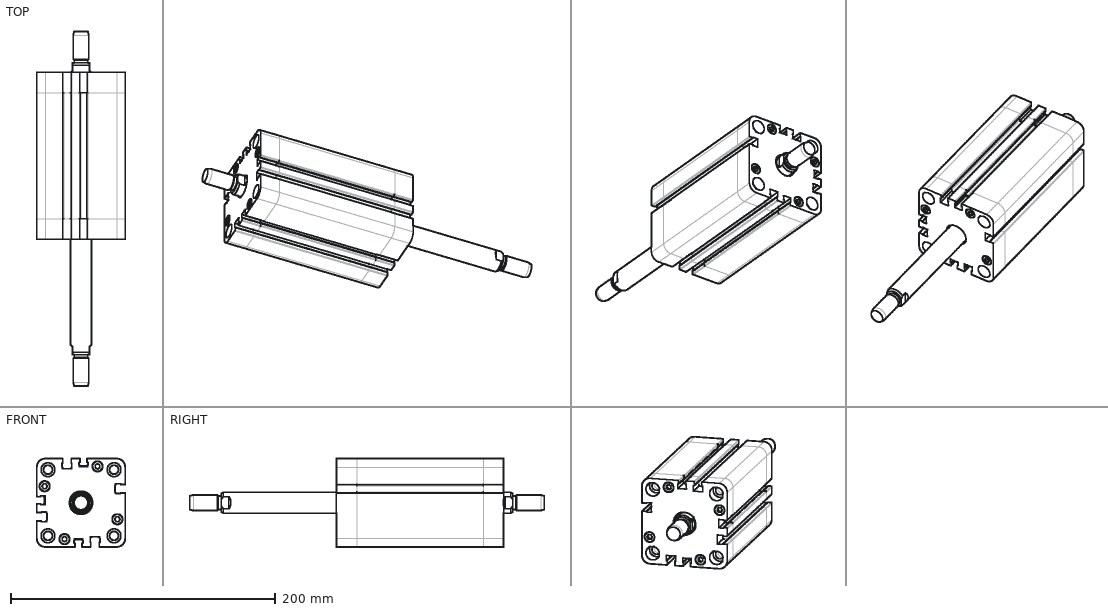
import cadquery as cq


body_width = 67.0
body_length = 126.5
cap_length = 15.5
corner_radius = 6.5
half_width = body_width / 2
tube_length = body_length - 2 * cap_length

slot_mouth_fillet = 0.5
tube_floor_fillet = 1.2

large_slot_x = -10.6
large_mouth_width = 6.2
large_undercut_width = 7.2
large_lip_depth = 3.5
large_slot_depth = 7.6

small_slot_x = 1.9
small_undercut_width = 6.6
small_lip_depth = 3.0
cap_small_mouth_width = 5.6
cap_small_slot_depth = 6.4
tube_small_mouth_width = 5.2
tube_small_slot_depth = 5.6

large_slot_turns = (0, 1, 2, 3)
small_slot_turns = (0, 1, 2)

mount_spacing = 50.0
mount_hole_diameter = 6.65
mount_bore_diameter = 10.5
mount_bore_depth = 10.0

screw_offset_along = 12.5
screw_offset_out = 27.5
screw_bore_diameter = 8.0
screw_head_diameter = 7.5
screw_bore_depth = 3.0
screw_head_sink = 0.3
screw_socket_width = 3.5
screw_socket_depth = 2.5
screw_turns = (0, 1, 2, 3)

rod_diameter = 16.0
rod_clearance_diameter = 17.6
rod_clearance_depth = 2.0
front_rod_length = 111.0
rear_rod_length = 31.0

thread_diameter = 12.0
thread_tip_diameter = 10.5
thread_tip_length = 2.9
neck_diameter = 10.5
neck_length = 3.0
threaded_end_length = 24.0
shoulder_chamfer_depth = 1.0
shoulder_chamfer_length = 1.7
flats_width = 13.0
flats_length = 5.8


def section_plane(start):
    """Plane across the cylinder axis at Y = start, facing -Y, with local x = X and local y = Z."""
    return cq.Plane(origin=(0, start, 0), xDir=(1, 0, 0), normal=(0, -1, 0))


def cylinder(x, z, diameter, start, length):
    """Round bar parallel to Y, reaching from Y = start to Y = start + length."""
    return cq.Workplane(section_plane(start)).center(x, z).circle(diameter / 2).extrude(-length)


def turned(shape, quarter_turns):
    """Turn a shape from the top face towards -X, the bottom and +X."""
    return shape.rotate((0, 0, 0), (0, 1, 0), -90 * quarter_turns)


def t_slot(x, mouth_width, undercut_width, lip_depth, depth, start, length):
    """T-slot cutter in the top face; its mouth flares out in a small radius."""
    mouth = mouth_width / 2
    undercut = undercut_width / 2
    flare = mouth + slot_mouth_fillet
    lip_z = half_width - lip_depth
    floor_z = half_width - depth
    fillet_z = half_width - slot_mouth_fillet
    arc_shift = slot_mouth_fillet * (1 - 0.5 ** 0.5)
    return (
        cq.Workplane(section_plane(start))
        .moveTo(x - flare, half_width)
        .threePointArc((x - mouth - arc_shift, half_width - arc_shift), (x - mouth, fillet_z))
        .lineTo(x - mouth, lip_z)
        .lineTo(x - undercut, lip_z)
        .lineTo(x - undercut, floor_z)
        .lineTo(x + undercut, floor_z)
        .lineTo(x + undercut, lip_z)
        .lineTo(x + mouth, lip_z)
        .lineTo(x + mouth, fillet_z)
        .threePointArc((x + mouth + arc_shift, half_width - arc_shift), (x + flare, half_width))
        .close()
        .extrude(-length)
    )


def slotted_block(start, length, small_mouth_width, small_depth, floor_fillet=0):
    """Length of rounded square bar with its T-slots."""
    block = (
        cq.Workplane(section_plane(start))
        .rect(body_width, body_width)
        .extrude(-length)
        .edges("|Y")
        .fillet(corner_radius)
    )
    large_slot = t_slot(
        large_slot_x, large_mouth_width, large_undercut_width,
        large_lip_depth, large_slot_depth, start, length,
    )
    small_slot = t_slot(
        small_slot_x, small_mouth_width, small_undercut_width,
        small_lip_depth, small_depth, start, length,
    )
    if floor_fillet:
        large_slot = large_slot.faces("<Z").edges("|Y").fillet(floor_fillet)
        small_slot = small_slot.faces("<Z").edges("|Y").fillet(floor_fillet)
    for turns in large_slot_turns:
        block = block.cut(turned(large_slot, turns))
    for turns in small_slot_turns:
        block = block.cut(turned(small_slot, turns))
    return block


def cut_mounting_holes(cap):
    offset = mount_spacing / 2
    for x in (-offset, offset):
        for z in (-offset, offset):
            cap = cap.cut(cylinder(x, z, mount_hole_diameter, 0, cap_length))
            cap = cap.cut(cylinder(x, z, mount_bore_diameter, 0, mount_bore_depth))
    return cap


def add_cap_screws(cap):
    """Bore a seat for each screw and set its socket head in it."""
    x = screw_offset_along
    z = screw_offset_out
    socket_diameter = screw_socket_width * 2 / 3 ** 0.5
    bore = cylinder(x, z, screw_bore_diameter, 0, screw_bore_depth)
    socket = (
        cq.Workplane(section_plane(screw_head_sink))
        .center(x, z)
        .transformed(rotate=(0, 0, 90))
        .polygon(6, socket_diameter)
        .extrude(-screw_socket_depth)
    )
    head_length = screw_bore_depth - screw_head_sink
    head = cylinder(x, z, screw_head_diameter, screw_head_sink, head_length).cut(socket)
    for turns in screw_turns:
        cap = cap.cut(turned(bore, turns)).union(turned(head, turns))
    return cap


def make_front_cap():
    cap = slotted_block(0, cap_length, cap_small_mouth_width, cap_small_slot_depth)
    cap = cut_mounting_holes(cap)
    cap = add_cap_screws(cap)
    return cap.cut(cylinder(0, 0, rod_clearance_diameter, 0, rod_clearance_depth))


def make_tube():
    tube = slotted_block(
        cap_length, tube_length, tube_small_mouth_width, tube_small_slot_depth, tube_floor_fillet
    )
    offset = mount_spacing / 2
    for x in (-offset, offset):
        for z in (-offset, offset):
            tube = tube.cut(cylinder(x, z, mount_hole_diameter, cap_length, tube_length))
    return tube


def mirrored_to_rear(shape):
    return shape.mirror("XZ", (0, body_length / 2, 0))


def cut_wrench_flats(rod, shoulder):
    """Cut two flats behind the shoulder, each running out in a 45 degree ramp."""
    rod_radius = rod_diameter / 2
    flat_x = flats_width / 2
    flat_end = shoulder + flats_length
    ramp = rod_radius - flat_x
    outline = [
        (flat_x, shoulder),
        (flat_x, flat_end),
        (rod_radius, flat_end + ramp),
        (rod_radius, shoulder),
    ]
    cutter = cq.Workplane("XY").polyline(outline).close().extrude(rod_radius, both=True)
    return rod.cut(cutter).cut(cutter.mirror("YZ"))


def make_rod_half(exposed_length):
    """Rod from the middle of the body out through the front face to its threaded tip."""
    rod_radius = rod_diameter / 2
    thread_radius = thread_diameter / 2
    neck_radius = neck_diameter / 2
    tip = -exposed_length
    shoulder = tip + threaded_end_length
    neck_start = shoulder - neck_length
    thread_runout = thread_radius - neck_radius
    middle = body_length / 2
    profile = [
        (0, tip),
        (thread_tip_diameter / 2, tip),
        (thread_radius, tip + thread_tip_length),
        (thread_radius, neck_start),
        (neck_radius, neck_start + thread_runout),
        (neck_radius, shoulder),
        (rod_radius - shoulder_chamfer_depth, shoulder),
        (rod_radius, shoulder + shoulder_chamfer_length),
        (rod_radius, middle),
        (0, middle),
    ]
    rod = cq.Workplane("XY").polyline(profile).close().revolve(360, (0, 0, 0), (0, 1, 0))
    return cut_wrench_flats(rod, shoulder)


front_cap = make_front_cap()
rear_cap = mirrored_to_rear(front_cap)
rod = make_rod_half(front_rod_length).union(mirrored_to_rear(make_rod_half(rear_rod_length)))

body = make_tube().union(front_cap, clean=False).union(rear_cap, clean=False)
result = body.union(rod, clean=False)